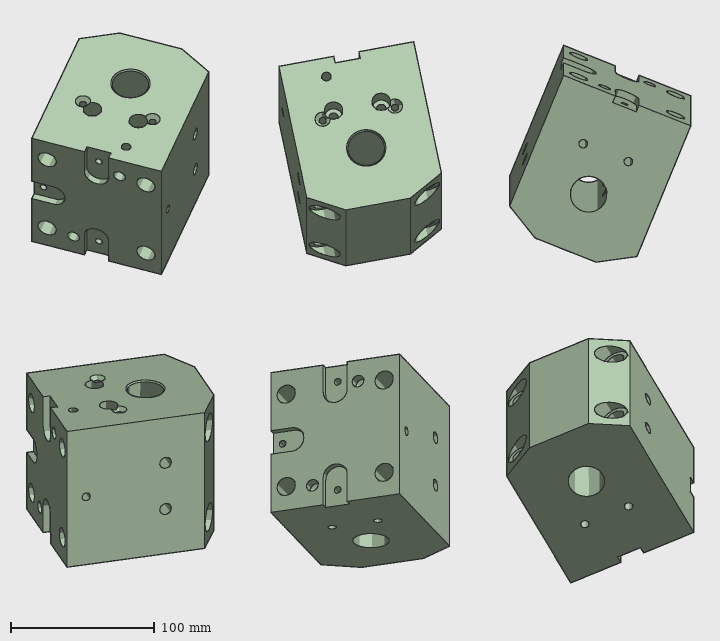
import cadquery as cq
import math

width = 96.0
length = 115.0
height = 106.0
front_y = -length / 2
back_y = length / 2
top_z = height / 2
left_x = -width / 2
right_x = width / 2

slope_run = 25.0
slope_angle = 30.0
slope_depth = slope_run * math.tan(math.radians(slope_angle))
shoulder_y = back_y - slope_depth

bore_diameter = 25.4
bore_rim_diameter = 27.4
bore_chamfer = (bore_rim_diameter - bore_diameter) / 2
bore_y = 14.5

cross_hole_diameter = 8.38
cross_hole_z = 18.0

bolt_hole_diameter = 13.49
bolt_head_diameter = 19.86
bolt_x = 36.5
bolt_z = 35.0

slot_width = 17.8
slot_length = 24.6
vertical_slot_length = 29.6
slot_depth = 5.0
slot_hole_diameter = 4.93
slot_hole_depth = 12.0
slot_hole_offset = 41.0

dowel_diameter = 8.61
dowel_depth = 8.0
dowel_x = 17.0
dowel_z = 37.0

step_wide_diameter = 6.5
step_narrow_diameter = 5.94
step_depth = 25.0

riser_x = 17.0
riser_y = -43.5
feed_diameter = step_narrow_diameter
feed_z = 0.0
feed_end_x = riser_x - step_wide_diameter / 2

pin_counterbore_diameter = 12.83
pin_counterbore_depth = 13.0
pin_x = 17.0
pin_y = -17.5

tap_hole_diameter = 4.93
tap_hole_depth = 15.0
tap_countersink_diameter = 10.6
tap_countersink_depth = (tap_countersink_diameter - tap_hole_diameter) / 2
tap_x = 25.7
tap_y = -12.5

drill_point_angle = 118.0

INTO_FRONT = cq.Vector(0, 1, 0)
DOWN = cq.Vector(0, 0, -1)
ALONG_X = cq.Vector(1, 0, 0)


def cylinder(start, direction, diameter, depth):
    return cq.Solid.makeCylinder(diameter / 2, depth, cq.Vector(*start), direction)


def drilled_hole(start, direction, diameter, depth):
    """Blind hole with a conical drill point beyond its full-diameter depth."""
    radius = diameter / 2
    point_length = radius / math.tan(math.radians(drill_point_angle / 2))
    point_start = cq.Vector(*start) + direction * depth
    point = cq.Solid.makeCone(radius, 0, point_length, point_start, direction)
    return cylinder(start, direction, diameter, depth).fuse(point)


def make_block():
    half_width = width / 2
    half_rear = half_width - slope_run
    outline = [
        (-half_width, front_y),
        (half_width, front_y),
        (half_width, shoulder_y),
        (half_rear, back_y),
        (-half_rear, back_y),
        (-half_width, shoulder_y),
    ]
    return cq.Workplane("XY").polyline(outline).close().extrude(top_z, both=True)


def cut_main_bore(body):
    body = body.cut(cylinder((0, bore_y, top_z), DOWN, bore_diameter, height))
    rim = cq.Solid.makeCone(
        bore_rim_diameter / 2, bore_diameter / 2, bore_chamfer, cq.Vector(0, bore_y, top_z), DOWN
    )
    return body.cut(rim)


def cut_cross_holes(body):
    for side in (-1, 1):
        start = (left_x, bore_y, side * cross_hole_z)
        body = body.cut(cylinder(start, ALONG_X, cross_hole_diameter, width))
    return body


def cut_bolt_holes(body):
    for x in (-bolt_x, bolt_x):
        for z in (-bolt_z, bolt_z):
            body = body.cut(cylinder((x, front_y, z), INTO_FRONT, bolt_hole_diameter, length))
            head = cylinder((x, shoulder_y, z), INTO_FRONT, bolt_head_diameter, slope_depth)
            body = body.cut(head)
    return body


def cut_front_slot(body, edge_distance, tip_distance, turn):
    """Slot running in from one block edge; turn rotates it about Y from the left edge."""
    radius = slot_width / 2
    straight = tip_distance - radius
    slot = (
        cq.Workplane("XZ", origin=(0, front_y, 0))
        .moveTo(-edge_distance, -radius)
        .lineTo(straight - edge_distance, -radius)
        .threePointArc((tip_distance - edge_distance, 0), (straight - edge_distance, radius))
        .lineTo(-edge_distance, radius)
        .close()
        .extrude(-slot_depth)
    )
    hole_start = (-slot_hole_offset, front_y + slot_depth, 0)
    hole = drilled_hole(hole_start, INTO_FRONT, slot_hole_diameter, slot_hole_depth)
    cutter = slot.union(cq.Workplane(hole))
    return body.cut(cutter.rotate((0, 0, 0), (0, 1, 0), turn))


def cut_front_slots(body):
    body = cut_front_slot(body, width / 2, slot_length, 0)
    for turn in (-90, 90):
        body = cut_front_slot(body, height / 2, vertical_slot_length, turn)
    return body


def cut_dowel_holes(body):
    for side in (-1, 1):
        start = (side * dowel_x, front_y, side * dowel_z)
        body = body.cut(drilled_hole(start, INTO_FRONT, dowel_diameter, dowel_depth))
    return body


def stepped_hole(x, y, depth):
    """Vertical hole from the top face that narrows below step_depth."""
    start = (x, y, top_z)
    wide = cylinder(start, DOWN, step_wide_diameter, step_depth)
    return wide.fuse(cylinder(start, DOWN, step_narrow_diameter, depth))


def cut_riser_and_feed(body):
    feed_start = (right_x, riser_y, feed_z)
    body = body.cut(drilled_hole(feed_start, -ALONG_X, feed_diameter, right_x - feed_end_x))
    return body.cut(stepped_hole(riser_x, riser_y, top_z - feed_z))


def cut_pin_holes(body):
    for x in (-pin_x, pin_x):
        counterbore = cylinder(
            (x, pin_y, top_z), DOWN, pin_counterbore_diameter, pin_counterbore_depth
        )
        body = body.cut(stepped_hole(x, pin_y, height)).cut(counterbore)
    return body


def cut_tap_holes(body):
    for x in (-tap_x, tap_x):
        start = (x, tap_y, top_z)
        countersink = cq.Solid.makeCone(
            tap_countersink_diameter / 2,
            tap_hole_diameter / 2,
            tap_countersink_depth,
            cq.Vector(*start),
            DOWN,
        )
        body = body.cut(drilled_hole(start, DOWN, tap_hole_diameter, tap_hole_depth))
        body = body.cut(countersink)
    return body


result = make_block()
result = cut_main_bore(result)
result = cut_cross_holes(result)
result = cut_bolt_holes(result)
result = cut_front_slots(result)
result = cut_dowel_holes(result)
result = cut_riser_and_feed(result)
result = cut_pin_holes(result)
result = cut_tap_holes(result)